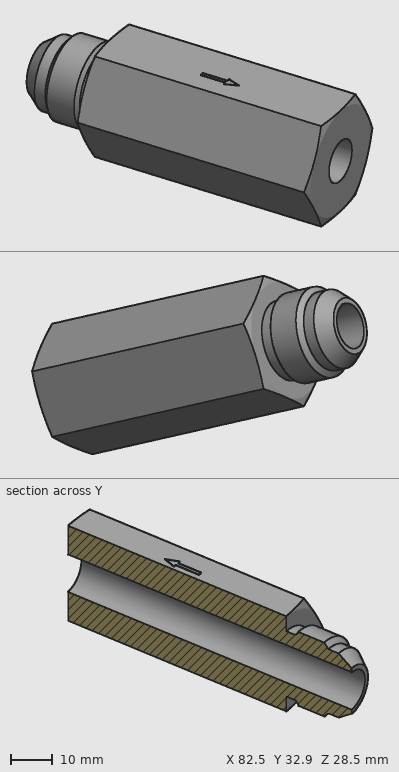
import cadquery as cq
import math

total_length = 82.55
cone_end = 3.8
collar_end = 6.8
thread_start = 8.0
thread_end = 15.5
neck_start = 16.35
hex_start = 19.0

bore_diameter = 11.1
tip_diameter = 13.7
collar_diameter = 19.3
thread_diameter = 22.2
neck_diameter = 19.65

across_flats = 28.5
across_corners = across_flats / math.cos(math.radians(30))
end_face_diameter = 28.2
corner_chamfer_angle = 15.0

arrow_tail_x = 45.65
arrow_neck_x = 52.4
arrow_tip_x = 55.9
arrow_y = -2.2
shaft_width = 1.0
head_width = 2.5
engraving_depth = 0.2


def revolve_about_axis(profile):
    """Revolve (x, radius) points about the X axis."""
    return cq.Workplane("XY").polyline(profile).close().revolve(360, (0, 0, 0), (1, 0, 0))


def make_spigot():
    """Coned tip, collar, chamfered thread cylinder and neck."""
    return revolve_about_axis([
        (0, 0),
        (0, tip_diameter / 2),
        (cone_end, collar_diameter / 2),
        (collar_end, collar_diameter / 2),
        (thread_start, thread_diameter / 2),
        (thread_end, thread_diameter / 2),
        (neck_start, neck_diameter / 2),
        (hex_start, neck_diameter / 2),
        (hex_start, 0),
    ])


def make_hex_body():
    """Hexagonal bar with its corners turned down by a cone at both ends."""
    body = (
        cq.Workplane("YZ", origin=(hex_start, 0, 0))
        .polygon(6, across_corners)
        .extrude(total_length - hex_start)
    )
    corner_radius = across_corners / 2
    face_radius = end_face_diameter / 2
    chamfer_length = (corner_radius - face_radius) * math.tan(math.radians(corner_chamfer_angle))
    envelope = revolve_about_axis([
        (hex_start, 0),
        (hex_start, face_radius),
        (hex_start + chamfer_length, corner_radius),
        (total_length - chamfer_length, corner_radius),
        (total_length, face_radius),
        (total_length, 0),
    ])
    return body.intersect(envelope)


def make_arrow():
    """Cutter for the flow arrow."""
    upper_half = [
        (arrow_tail_x, shaft_width / 2),
        (arrow_neck_x, shaft_width / 2),
        (arrow_neck_x, head_width / 2),
    ]
    lower_half = [(x, -y) for x, y in reversed(upper_half)]
    outline = upper_half + [(arrow_tip_x, 0)] + lower_half
    return (
        cq.Workplane("XY", origin=(0, arrow_y, across_flats / 2 - engraving_depth))
        .polyline(outline)
        .close()
        .extrude(engraving_depth)
    )


bore = cq.Workplane("YZ").circle(bore_diameter / 2).extrude(total_length)

result = make_spigot().union(make_hex_body()).cut(bore).cut(make_arrow())